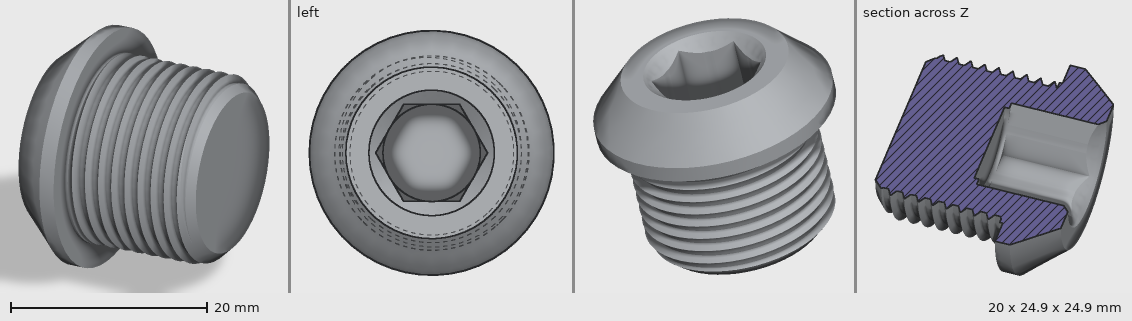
import cadquery as cq
import math

total_length = 20.03
head_diameter = 24.95
head_face_diameter = 17.5
head_cone_length = 4.27
head_rim_width = 1.62
head_length = head_cone_length + head_rim_width

thread_diameter = 19.8
thread_radius = thread_diameter / 2
thread_depth = 0.77
root_radius = thread_radius - thread_depth
thread_pitch = 1.5
crest_width = 0.02
flank_angle = 30.0
first_crest_x = 7.44
collar_diameter = 19.84
collar_width = 0.32
tip_chamfer = 0.77
tip_radius = root_radius - tip_chamfer

hex_across_flats = 9.88
bore_diameter = 9.93
mouth_diameter = 12.8
hex_depth = 9.98
bore_depth = 10.48


def make_head():
    """Head with a conical face, and the narrow collar behind it."""
    collar_end = head_length + collar_width
    head_radius = head_diameter / 2
    return (
        cq.Workplane("XY")
        .polyline([
            (0, 0),
            (0, head_face_diameter / 2),
            (head_cone_length, head_radius),
            (head_length, head_radius),
            (head_length, collar_diameter / 2),
            (collar_end, collar_diameter / 2),
            (collar_end, 0),
        ])
        .close()
        .revolve(360, (0, 0, 0), (1, 0, 0))
    )


def make_shank_limit():
    """Solid that trims the threaded shank to the 45 degree cone at the shank tip."""
    clearance = 0.25
    limit_radius = thread_radius + clearance
    cone_start = total_length - (limit_radius - tip_radius)
    return (
        cq.Workplane("XY")
        .polyline([(0, 0), (0, limit_radius), (cone_start, limit_radius),
                   (total_length, tip_radius), (total_length, 0)])
        .close()
        .revolve(360, (0, 0, 0), (1, 0, 0))
    )


def make_shank():
    """Round shank with a right-hand V ridge, from inside the head to the tip cone."""
    start_x = first_crest_x - 2 * thread_pitch
    root_overlap = 0.07
    inner_radius = root_radius - root_overlap
    half_crest = crest_width / 2
    half_base = half_crest + (thread_radius - inner_radius) * math.tan(math.radians(flank_angle))
    turns = math.ceil((total_length - start_x) / thread_pitch)
    section = [
        (inner_radius, -half_base),
        (thread_radius, -half_crest),
        (thread_radius, half_crest),
        (inner_radius, half_base),
    ]
    edges = [
        cq.Wire.makeHelix(thread_pitch, turns * thread_pitch, radius).translate(cq.Vector(0, 0, offset))
        for radius, offset in section
    ]
    faces = [
        cq.Face.makeRuledSurface(edge, next_edge)
        for edge, next_edge in zip(edges, edges[1:] + edges[:1])
    ]
    for position in (0, 1):
        corners = [edge.positionAt(position) for edge in edges]
        faces.append(cq.Face.makeFromWires(cq.Wire.makePolygon(corners, close=True)))
    shell = cq.Shell.makeShell([face for part in faces for face in part.Faces()])
    ridge = cq.Workplane(obj=cq.Solid.makeSolid(shell))
    ridge = ridge.rotate((0, 0, 0), (1, 1, 1), 120).translate((start_x, 0, 0))
    end_margin = thread_pitch
    root_start = start_x - end_margin
    root_length = turns * thread_pitch + 2 * end_margin
    root = cq.Workplane("YZ", origin=(root_start, 0, 0)).circle(root_radius).extrude(root_length)
    return root.union(ridge).intersect(make_shank_limit())


def make_socket():
    """Hexagon with corners on the Y axis, round bore and 45 degree mouth."""
    corner_diameter = hex_across_flats / math.cos(math.radians(30))
    hexagon = cq.Workplane("YZ").polygon(6, corner_diameter).extrude(hex_depth)
    bore = cq.Workplane("YZ").circle(bore_diameter / 2).extrude(bore_depth)
    mouth_radius = mouth_diameter / 2
    mouth = (
        cq.Workplane("XY")
        .polyline([(0, 0), (0, mouth_radius), (mouth_radius, 0)])
        .close()
        .revolve(360, (0, 0, 0), (1, 0, 0))
    )
    return hexagon.union(bore).union(mouth)


result = make_head().union(make_shank()).cut(make_socket())